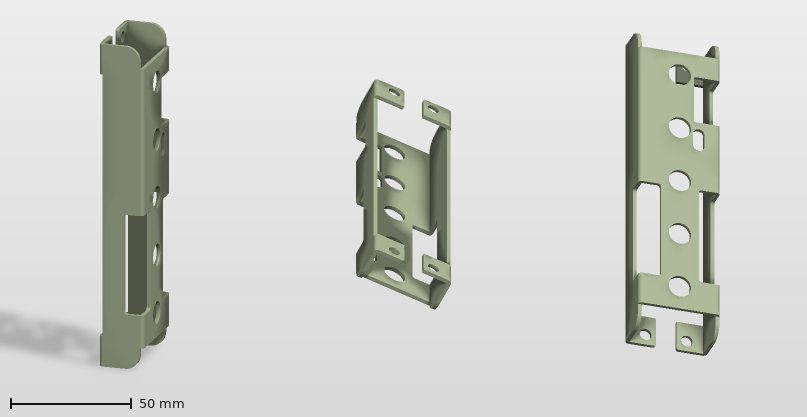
import cadquery as cq

length = 139.7
width = 35.6
depth = 19.4
sheet = 1.7

tab_height = 13.1
tab_gap = 9.0
tab_corner_radius = 1.0
tab_hole_diameter = 5.0
tab_hole_spacing = 18.0
tab_hole_end_distance = 4.7

web_end_setback = 9.4
flange_corner_radius = 6.3

web_hole_count = 5
web_hole_pitch = 25.0
web_hole_diameter = 9.6

slot_width = 5.0
slot_length = 10.0
slot_y = 8.2
slot_z = 20.5

lower_window_height = 43.3
lower_window_z = -24.7
lower_window_web_edge = 8.2
lower_window_depth = 8.4
lower_window_radius = 1.3

upper_window_height = 21.2
upper_window_z = 39.4
upper_window_web_edge = 6.1
upper_window_depth = 9.9
upper_window_radius = 0.8

web_face = depth / 2
tab_face = -depth / 2
web_inner_face = web_face - sheet
tab_inner_face = tab_face + sheet


def block(x_range, y_range, z_range):
    """Box spanning the given (low, high) ranges."""
    lows, highs = zip(x_range, y_range, z_range)
    sizes = [high - low for low, high in zip(lows, highs)]
    return cq.Workplane("XY").box(*sizes, centered=False).translate(lows)


def folded_tube():
    """Rectangular tube with rounded outer bends and sharp inner corners."""
    outer = cq.Workplane("XY").box(depth, width, length).edges("|Z").fillet(sheet)
    inner = cq.Workplane("XY").box(depth - 2 * sheet, width - 2 * sheet, length)
    return outer.cut(inner)


def tab_openings():
    """Material removed from the open side so that only four tabs remain."""
    middle_height = length - 2 * tab_height
    openings = block(
        (tab_face, tab_inner_face), (-width / 2, width / 2), (-middle_height / 2, middle_height / 2)
    )
    return openings.union(
        block((tab_face, tab_inner_face), (-tab_gap / 2, tab_gap / 2), (-length / 2, length / 2))
    )


def round_tab_corners(body):
    """Rounds the corner of every tab that lies at the gap and the end of the channel."""
    for side in (-1, 1):
        for end in (-1, 1):
            corner = (tab_face + sheet / 2, side * tab_gap / 2, end * length / 2)
            body = body.edges(cq.selectors.NearestToPointSelector(corner)).fillet(tab_corner_radius)
    return body


def web_end_cuts():
    """Material removed to shorten the web and its bends at both ends."""
    web_half = length / 2 - web_end_setback
    x_range = (web_inner_face, web_face)
    y_range = (-width / 2, width / 2)
    upper = block(x_range, y_range, (web_half, length / 2))
    return upper.union(upper.mirror("XY"))


def flange_envelope():
    """Side outline of the flanges with rounded corners, widened to keep the web."""
    outline = (
        cq.Workplane("XY")
        .box(depth - sheet, width, length)
        .translate((-sheet / 2, 0, 0))
        .edges("|Y and >X")
        .fillet(flange_corner_radius)
    )
    web_height = length - 2 * web_end_setback
    return outline.union(cq.Workplane("XY").box(depth, width, web_height))


def web_cut(sketch):
    """Extrudes a profile drawn in the YZ plane through the web only."""
    return sketch.extrude(2 * sheet).translate((web_inner_face - sheet / 2, 0, 0))


def corner_window(web_edge, reach, height, center_z, radius):
    """Window through the +Y fold: one opening in the web joined to one in the flange."""
    z_range = (center_z - height / 2, center_z + height / 2)
    in_web = block((web_inner_face, web_face), (web_edge, width / 2), z_range)
    in_web = in_web.edges("|X and <Y").fillet(radius)
    in_flange = block((web_face - reach, web_face), (width / 2 - sheet, width / 2), z_range)
    in_flange = in_flange.edges("|Y and <X").fillet(radius)
    return in_web.union(in_flange)


def tab_holes():
    """Four holes, one through each tab."""
    return (
        cq.Workplane("YZ")
        .rarray(tab_hole_spacing, length - 2 * tab_hole_end_distance, 2, 2)
        .circle(tab_hole_diameter / 2)
        .extrude(2 * sheet)
        .translate((tab_face - sheet / 2, 0, 0))
    )


web_holes = web_cut(
    cq.Workplane("YZ").rarray(1.4, web_hole_pitch, 1, web_hole_count).circle(web_hole_diameter / 2)
)
slot = web_cut(cq.Workplane("YZ").center(slot_y, slot_z).slot2D(slot_length, slot_width, 90))
lower_window = corner_window(
    lower_window_web_edge, lower_window_depth, lower_window_height, lower_window_z, lower_window_radius
)
upper_window = corner_window(
    upper_window_web_edge, upper_window_depth, upper_window_height, upper_window_z, upper_window_radius
)

channel = round_tab_corners(folded_tube().cut(tab_openings()))
channel = channel.cut(web_end_cuts()).intersect(flange_envelope())
for cutter in (tab_holes(), web_holes, slot, lower_window, lower_window.mirror("XZ"), upper_window):
    channel = channel.cut(cutter)

result = channel